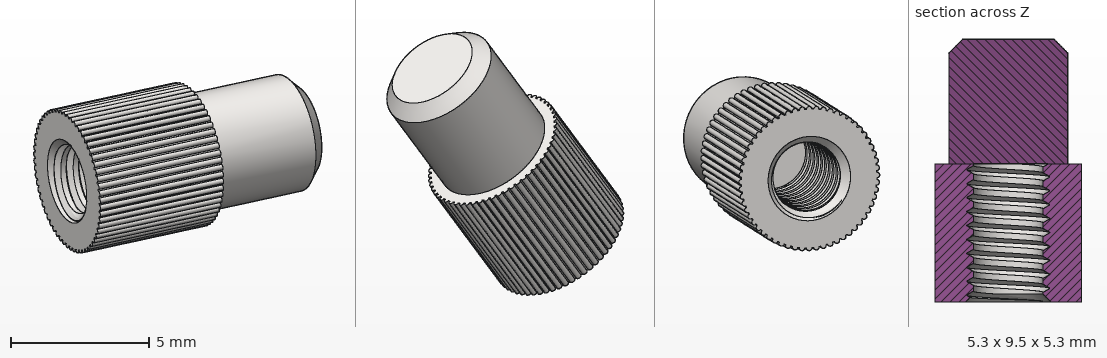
import cadquery as cq
import math


sleeve_length = 5.0
knurl_tip_radius = 2.65
rib_radius = 0.1
rib_center_radius = knurl_tip_radius - rib_radius
knurl_root_radius = 2.55
rib_count = 60
rib_pitch_angle = 2 * math.pi / rib_count

bore_radius = 1.25
thread_root_radius = 1.5
thread_pitch = 0.5
thread_flank_angle = math.radians(30)
countersink_radius = 1.55
countersink_depth = countersink_radius - bore_radius
groove_start_angle = 35
groove_overlap = 0.02
overrun_turns = 1

total_length = 9.5
plug_length = total_length - sleeve_length
plug_radius = 2.16
plug_chamfer = 0.5


def axis_plane(y):
    """Plane square to the Y axis at the given Y, with its normal toward +Y."""
    return cq.Plane(origin=(0, y, 0), xDir=(1, 0, 0), normal=(0, 1, 0))


def polar_point(radius, angle):
    return radius * math.cos(angle), radius * math.sin(angle)


def make_knurled_blank():
    """Bar whose outline is a root circle carrying evenly spaced round ribs."""
    rib_half_angle = math.acos(
        (knurl_root_radius**2 + rib_center_radius**2 - rib_radius**2)
        / (2 * knurl_root_radius * rib_center_radius)
    )
    outline = cq.Workplane(axis_plane(0)).moveTo(*polar_point(knurl_root_radius, -rib_half_angle))
    for i in range(rib_count):
        angle = i * rib_pitch_angle
        rib_end = polar_point(knurl_root_radius, angle + rib_half_angle)
        valley = polar_point(knurl_root_radius, angle + rib_pitch_angle / 2)
        next_rib = polar_point(knurl_root_radius, angle + rib_pitch_angle - rib_half_angle)
        outline = outline.threePointArc(polar_point(knurl_tip_radius, angle), rib_end)
        outline = outline.threePointArc(valley, next_rib)
    return outline.close().extrude(sleeve_length)


def make_bore():
    """Plain bore with a 45 degree countersink at the front face."""
    return (
        cq.Workplane("XY")
        .polyline([
            (0, 0),
            (countersink_radius, 0),
            (bore_radius, countersink_depth),
            (bore_radius, sleeve_length),
            (0, sleeve_length),
        ])
        .close()
        .revolve(360, (0, 0, 0), (0, 1, 0))
    )


def make_thread_groove():
    """Right-hand V groove that overruns both ends of the bore."""
    inner_radius = bore_radius - groove_overlap
    half_width = (thread_root_radius - inner_radius) * math.tan(thread_flank_angle)
    turns = math.ceil(sleeve_length / thread_pitch) + 2 * overrun_turns
    helix = cq.Wire.makeHelix(thread_pitch, turns * thread_pitch, bore_radius)
    groove = (
        cq.Workplane("XZ")
        .polyline([
            (inner_radius, -half_width),
            (thread_root_radius, 0),
            (inner_radius, half_width),
        ])
        .close()
        .sweep(cq.Workplane(helix), isFrenet=True)
    )
    entry_depth = countersink_radius - thread_root_radius
    return (
        groove
        .rotate((0, 0, 0), (1, 0, 0), -90)
        .rotate((0, 0, 0), (0, 1, 0), groove_start_angle)
        .translate((0, entry_depth - overrun_turns * thread_pitch, 0))
    )


def make_sleeve():
    return make_knurled_blank().cut(make_thread_groove()).cut(make_bore())


def make_plug():
    return (
        cq.Workplane(axis_plane(sleeve_length))
        .circle(plug_radius)
        .extrude(plug_length)
        .faces(">Y")
        .chamfer(plug_chamfer)
    )


sleeve = make_sleeve()
plug = make_plug()

result = cq.Compound.makeCompound([sleeve.val(), plug.val()])